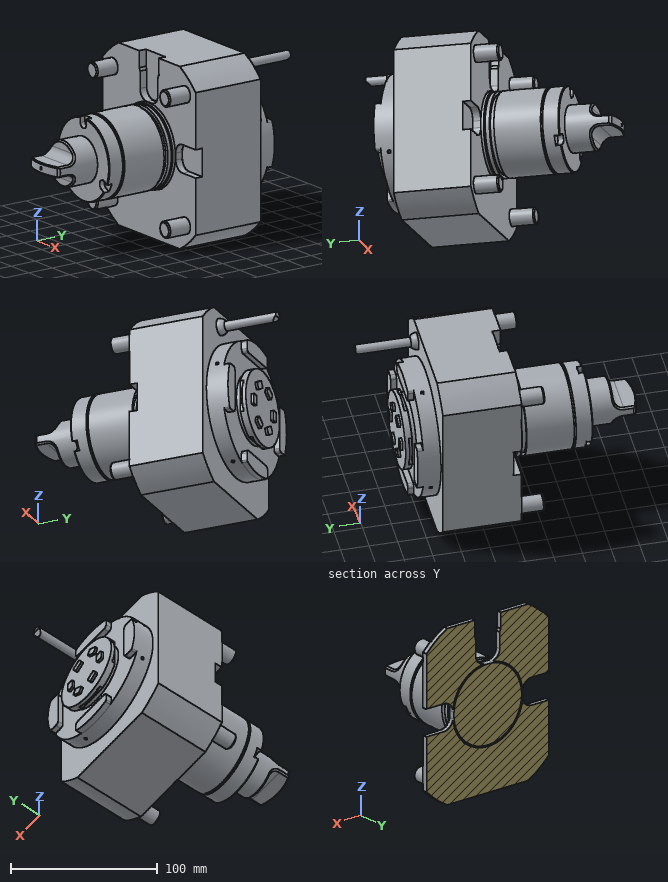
import cadquery as cq
import math


block_width = 108.0
block_height = 130.0
block_depth = 55.0
block_corner_diameter = 148.2

recess_diameter = 61.3
channel_depth = 5.7
recess_depth = channel_depth
channel_end = 31.0
channel_corner_radius = 7.5
side_channel_width = 20.1
top_channel_width = 20.7
top_mouth_width = 22.4
top_taper_start = 50.6
top_taper_end = 53.0

screw_diameter = 12.0
screw_length = 17.6
screw_chamfer = 1.0
screw_x = 42.0
screw_z = 46.7

housing_diameter = 60.0
relief_start = 1.7
relief_end = 2.8
relief_diameter = 59.5
seal_groove_start = 5.9
seal_groove_end = 9.1
seal_groove_diameter = 55.2
nut_gap_start = 42.3
nut_gap_end = 43.6
nut_gap_diameter = 58.8
housing_length = 55.4
nut_diameter = 59.8
nut_chamfer = 0.5

notch_count = 3
notch_width = 7.0
notch_depth = 4.0
notch_centre_radius = 25.8

shank_diameter = 33.0
driver_tip = 91.2
shoulder = 73.5
blade_thickness = 7.5
blade_root_radius = 6.5
rim_chamfer = 1.1
tip_chamfer = 0.8
tip_corner_chamfer = 1.3
tip_sagitta = 3.2
tip_hole_diameter = 1.8
tip_hole_depth = 1.9

flange_diameter = 96.0
flange_thickness = 12.0
lug_count = 4
lug_height = 4.2
lug_width = 33.5
lug_inner_distance = 36.5
lug_inner_fillet = 2.5
lug_outer_fillet = 1.3
pin_hole_count = 4
pin_hole_diameter = 2.0
pin_hole_depth = 1.9
pin_hole_offset = 6.3
pin_hole_start_angle = -22.5

hub_diameter = 55.0
hub_height = 20.1
hub_rim_height = 2.8
hub_flat_distance = 25.0
hub_neck_height = 15.0
key_count = 6
key_height = 1.7
key_radial = 5.3
key_tangential = 7.5
key_centre_radius = 16.0
key_fillet = 1.1

cable_diameter = 7.0
cable_x = 26.0
cable_z = 53.7
cable_length = 43.5
cable_bevel = 3.0
gland_diameter = 12.0


def cylinder(diameter, y_start, y_end, x=0, z=0):
    """Cylinder parallel to Y between two Y positions."""
    profile = cq.Workplane("XZ", origin=(x, y_start, z)).circle(diameter / 2)
    return profile.extrude(y_start - y_end)


def box(x_size, y_start, y_end, z_size, x=0, z=0):
    """Box centred at (x, z) between two Y positions."""
    centre = (x, (y_start + y_end) / 2, z)
    return cq.Workplane("XY").box(x_size, abs(y_end - y_start), z_size).translate(centre)


def around_spindle(solid, count, start_angle=0):
    """Copies of a solid spaced evenly about the Y axis."""
    copies = cq.Workplane("XY")
    for i in range(count):
        angle = start_angle + i * 360 / count
        copies = copies.add(solid.rotate((0, 0, 0), (0, 1, 0), angle))
    return copies.combine()


def make_block():
    blank = box(block_width, 0, block_depth, block_height)
    return blank.intersect(cylinder(block_corner_diameter, 0, block_depth))


def straight_channel(width, outer_end):
    """Channel running up from the spindle, with rounded inner corners."""
    length = outer_end - channel_end
    body = box(width, 0, channel_depth, length, z=channel_end + length / 2)
    return body.edges("|Y and <Z").fillet(channel_corner_radius)


def cut_front_channels(block):
    side = straight_channel(side_channel_width, block_width / 2)
    for angle in (-90, 90):
        block = block.cut(side.rotate((0, 0, 0), (0, 1, 0), angle))
    block = block.cut(straight_channel(top_channel_width, block_height / 2))
    top = block_height / 2
    mouth = (
        cq.Workplane("XZ")
        .moveTo(-top_channel_width / 2, top_taper_start)
        .lineTo(-top_mouth_width / 2, top_taper_end)
        .lineTo(-top_mouth_width / 2, top)
        .lineTo(top_mouth_width / 2, top)
        .lineTo(top_mouth_width / 2, top_taper_end)
        .lineTo(top_channel_width / 2, top_taper_start)
        .close()
        .extrude(-channel_depth)
    )
    return block.cut(mouth).cut(cylinder(recess_diameter, 0, recess_depth))


def make_screws():
    screws = cq.Workplane("XY")
    for x in (-screw_x, screw_x):
        for z in (-screw_z, screw_z):
            screw = cylinder(screw_diameter, -screw_length, recess_depth, x, z)
            screws = screws.add(screw.faces("<Y").chamfer(screw_chamfer))
    return screws.combine()


def make_housing():
    nut = cylinder(nut_diameter, -housing_length, -nut_gap_end)
    nut = nut.faces("<Y").chamfer(nut_chamfer)
    notch_slot = box(notch_width, -housing_length, notch_depth - housing_length,
                     nut_diameter, z=notch_centre_radius + nut_diameter / 2)
    notch_end = cylinder(notch_width, -housing_length, notch_depth - housing_length,
                         z=notch_centre_radius)
    nut = nut.cut(around_spindle(notch_slot.union(notch_end), notch_count))

    steps = (
        (housing_diameter, -relief_start, recess_depth),
        (relief_diameter, -relief_end, -relief_start),
        (housing_diameter, -seal_groove_start, -relief_end),
        (seal_groove_diameter, -seal_groove_end, -seal_groove_start),
        (housing_diameter, -nut_gap_start, -seal_groove_end),
        (nut_gap_diameter, -nut_gap_end, -nut_gap_start),
    )
    housing = nut
    for diameter, front, back in steps:
        housing = housing.union(cylinder(diameter, front, back))
    return housing


def make_driver():
    driver = cylinder(shank_diameter, -driver_tip, -housing_length)
    for side in (1, -1):
        driver = driver.cut(blade_relief(side))
    driver = driver.edges("not(<Y or >Y or |X or >X)").chamfer(rim_chamfer)

    half_width = shank_diameter / 2
    tip_corner = tip_sagitta - driver_tip
    arch = (
        cq.Workplane("XY")
        .moveTo(-half_width, -housing_length)
        .lineTo(-half_width, tip_corner)
        .threePointArc((0, -driver_tip), (half_width, tip_corner))
        .lineTo(half_width, -housing_length)
        .close()
        .extrude(half_width, both=True)
    )
    arch = arch.edges("|Z").edges("<Y").chamfer(tip_corner_chamfer)
    driver = driver.intersect(arch)
    driver = driver.faces("<Y").edges("not |Z").chamfer(tip_chamfer)
    hole = cylinder(tip_hole_diameter, -driver_tip, tip_hole_depth - driver_tip)
    return driver.cut(hole)


def blade_relief(side):
    """Material removed beside one flat, with a concave root at the shoulder."""
    flat = side * blade_thickness / 2
    root = side * (blade_thickness / 2 + blade_root_radius)
    outside = side * shank_diameter
    bulge = blade_root_radius * math.sqrt(0.5)
    root_mid = root - side * bulge
    return (
        cq.Workplane("YZ")
        .moveTo(-2 * driver_tip, flat)
        .lineTo(-shoulder - blade_root_radius, flat)
        .threePointArc((-shoulder - blade_root_radius + bulge, root_mid), (-shoulder, root))
        .lineTo(-shoulder, outside)
        .lineTo(-2 * driver_tip, outside)
        .close()
        .extrude(shank_diameter, both=True)
    )


def make_flange():
    rear = block_depth + flange_thickness
    flange = cylinder(flange_diameter, block_depth, rear)
    outer = flange_diameter / 2
    bar = box(lug_width, block_depth, rear + lug_height, outer - lug_inner_distance,
              z=(outer + lug_inner_distance) / 2)
    lug = bar.intersect(cylinder(flange_diameter, block_depth, rear + lug_height))
    lug = lug.edges("|Y and <Z").fillet(lug_inner_fillet)
    lug = lug.faces(">X or <X").edges("|Y").edges(">Z").fillet(lug_outer_fillet)
    flange = flange.union(around_spindle(lug, lug_count))
    hole = (
        cq.Workplane("XY", origin=(0, block_depth + pin_hole_offset, outer - pin_hole_depth))
        .circle(pin_hole_diameter / 2)
        .extrude(2 * pin_hole_depth)
    )
    return flange.cut(around_spindle(hole, pin_hole_count, pin_hole_start_angle))


def make_hub():
    rear = block_depth + hub_height
    rim_start = rear - hub_rim_height
    neck_end = block_depth + hub_neck_height
    flats = box(2 * hub_flat_distance, neck_end, rim_start, 2 * hub_flat_distance)
    body = cylinder(hub_diameter, neck_end, rim_start).intersect(flats)
    neck = cylinder(2 * hub_flat_distance, block_depth, neck_end)
    hub = neck.union(body).union(cylinder(hub_diameter, rim_start, rear))
    key = box(key_radial, rim_start, rear + key_height, key_tangential, x=key_centre_radius)
    key = key.edges("|Y").fillet(key_fillet)
    return hub.union(around_spindle(key, key_count))


def make_cable():
    end = block_depth + cable_length
    cable = cylinder(cable_diameter, block_depth, end, cable_x, cable_z)
    underside = cable_z - cable_diameter / 2
    bevel = (
        cq.Workplane("YZ", origin=(cable_x, 0, 0))
        .moveTo(end - cable_bevel, underside)
        .lineTo(end, underside)
        .lineTo(end, underside + cable_bevel)
        .close()
        .extrude(cable_diameter, both=True)
    )
    gland = cq.Workplane("XY").sphere(gland_diameter / 2)
    gland = gland.translate((cable_x, block_depth, cable_z))
    return cable.cut(bevel).union(gland)


result = cut_front_channels(make_block())
for component in (make_screws(), make_housing(), make_driver(),
                  make_flange(), make_hub(), make_cable()):
    result = result.union(component)